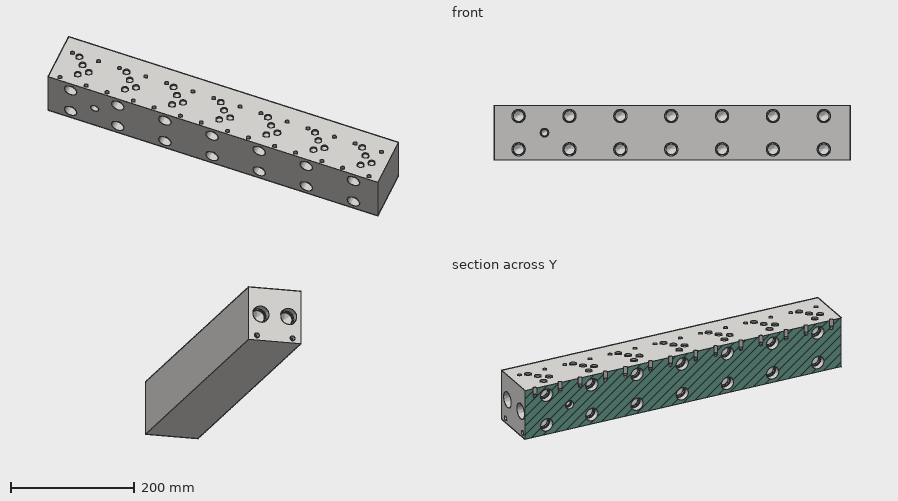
import cadquery as cq
import math

LENGTH = 577.85
WIDTH = 88.9
HEIGHT = 88.9

STATION_COUNT = 7
STATION_PITCH = LENGTH / STATION_COUNT

BOLT_SPACING_X = 46.0
BOLT_SPACING_Y = 54.0
PATTERN_X = (STATION_PITCH - BOLT_SPACING_X) / 2
PATTERN_Y = 6.3
VALVE_PORTS = {
    "A": (24.6, 16.7),
    "P": (39.7, 27.0),
    "B": (24.6, 37.3),
    "T": (13.5, 50.8),
}
VALVE_PORT_DIAMETER = 11.12
VALVE_PORT_DEPTH = 3.175
VALVE_BOLT_DRILL = 5.11
VALVE_BOLT_THREAD = 6.35
VALVE_BOLT_THREAD_DEPTH = 12.7
VALVE_BOLT_DRILL_DEPTH = 16.0

WORK_PORT_X = 39.6
WORK_PORT_OFFSET_Z = 27.0
WORK_PORT_DRILL = 17.48
WORK_PORT_THREAD = 21.59
WORK_PORT_THREAD_DEPTH = 16.0
WORK_PORT_DRILL_DEPTH = 20.0

GAUGE_PORT_X = 81.6
GAUGE_PORT_DRILL = 10.72
GAUGE_PORT_THREAD = 13.87
GAUGE_PORT_THREAD_DEPTH = 12.0
GAUGE_PORT_DRILL_DEPTH = 14.0

END_PORT_OFFSET_Y = 23.5
END_PORT_DRILL = 23.01
END_PORT_THREAD = 26.92
END_PORT_THREAD_DEPTH = 16.0
END_PORT_DRILL_DEPTH = 20.0

END_BOLT_OFFSET_Y = 30.2
END_BOLT_Z = 8.1
END_BOLT_DRILL = 6.53
END_BOLT_THREAD = 7.92
END_BOLT_THREAD_DEPTH = 12.7
END_BOLT_DRILL_DEPTH = 16.0

DRILL_POINT_ANGLE = 118.0

DOWN = cq.Vector(0, 0, -1)
FROM_FRONT = cq.Vector(0, 1, 0)
FROM_END = cq.Vector(1, 0, 0)


def drilled_hole(mouth_center, direction, diameter, depth):
    """Blind hole with a conical drill point below its full-diameter depth."""
    start = cq.Vector(*mouth_center)
    radius = diameter / 2
    point_length = radius / math.tan(math.radians(DRILL_POINT_ANGLE / 2))
    barrel = cq.Solid.makeCylinder(radius, depth, start, direction)
    point = cq.Solid.makeCone(radius, 0, point_length, start + direction * depth, direction)
    return barrel.fuse(point)


def threaded_hole(mouth_center, direction, drill, drill_depth, thread, thread_depth):
    """Drilled hole opened up to the thread's major diameter over the threaded depth."""
    thread_bore = cq.Solid.makeCylinder(thread / 2, thread_depth, cq.Vector(*mouth_center), direction)
    return drilled_hole(mouth_center, direction, drill, drill_depth).fuse(thread_bore)


def valve_bolt_hole(x, y):
    return threaded_hole(
        (x, y, HEIGHT),
        DOWN,
        VALVE_BOLT_DRILL,
        VALVE_BOLT_DRILL_DEPTH,
        VALVE_BOLT_THREAD,
        VALVE_BOLT_THREAD_DEPTH,
    )


def valve_station(station_x):
    """Four bolt holes and four ports of one valve, on the top face."""
    bolt_x = station_x + PATTERN_X
    holes = []
    for x in (bolt_x, bolt_x + BOLT_SPACING_X):
        for y in (PATTERN_Y, PATTERN_Y + BOLT_SPACING_Y):
            holes.append(valve_bolt_hole(x, y))
    for port_x, port_y in VALVE_PORTS.values():
        center = (bolt_x + port_x, PATTERN_Y + port_y, HEIGHT)
        holes.append(drilled_hole(center, DOWN, VALVE_PORT_DIAMETER, VALVE_PORT_DEPTH))
    return holes


def work_port(station_x, side):
    """One work port on the front face, below (side -1) or above (side 1) the middle."""
    return threaded_hole(
        (station_x + WORK_PORT_X, 0, HEIGHT / 2 + side * WORK_PORT_OFFSET_Z),
        FROM_FRONT,
        WORK_PORT_DRILL,
        WORK_PORT_DRILL_DEPTH,
        WORK_PORT_THREAD,
        WORK_PORT_THREAD_DEPTH,
    )


def gauge_port():
    return threaded_hole(
        (GAUGE_PORT_X, 0, HEIGHT / 2),
        FROM_FRONT,
        GAUGE_PORT_DRILL,
        GAUGE_PORT_DRILL_DEPTH,
        GAUGE_PORT_THREAD,
        GAUGE_PORT_THREAD_DEPTH,
    )


def end_port(side):
    """Pressure (side -1) or tank (side 1) port on the low-X end face."""
    return threaded_hole(
        (0, WIDTH / 2 + side * END_PORT_OFFSET_Y, HEIGHT / 2),
        FROM_END,
        END_PORT_DRILL,
        END_PORT_DRILL_DEPTH,
        END_PORT_THREAD,
        END_PORT_THREAD_DEPTH,
    )


def end_bolt_hole(side):
    return threaded_hole(
        (0, WIDTH / 2 + side * END_BOLT_OFFSET_Y, END_BOLT_Z),
        FROM_END,
        END_BOLT_DRILL,
        END_BOLT_DRILL_DEPTH,
        END_BOLT_THREAD,
        END_BOLT_THREAD_DEPTH,
    )


cutters = [gauge_port()]
for side in (-1, 1):
    cutters += [end_port(side), end_bolt_hole(side)]
for station in range(STATION_COUNT):
    station_origin = station * STATION_PITCH
    cutters += valve_station(station_origin)
    cutters += [work_port(station_origin, side) for side in (-1, 1)]

block = cq.Workplane("XY").box(LENGTH, WIDTH, HEIGHT, centered=False)
result = cq.Workplane("XY").newObject([block.val().cut(*cutters)])